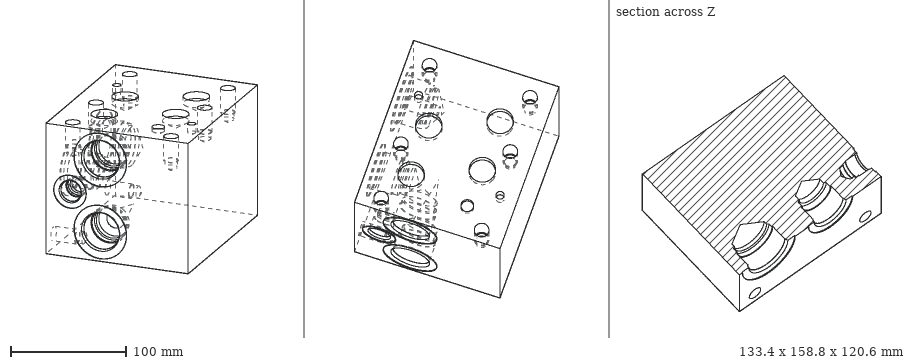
import cadquery as cq
import math

WIDTH = 133.4
LENGTH = 158.8
HEIGHT = 120.6

DRILL_TIP_ANGLE = 118.0

REAR_RIGHT_BOLT = (112.7, 141.3)
BOLT_SPAN_X = 92.0
BOLT_SPAN_Y = 130.2
BOLTS = (
    (0.0, 0.0),
    (0.0, BOLT_SPAN_Y),
    (BOLT_SPAN_X, 0.0),
    (BOLT_SPAN_X, BOLT_SPAN_Y),
    (0.0, 53.2),
    (BOLT_SPAN_X, 77.0),
)
VALVE_PORTS = ((17.5, 29.4), (17.5, 77.0), (74.6, 53.2), (74.6, 100.8))
PILOT_PORT = (19.0, 112.7)
LOCATING_PINS = ((BOLT_SPAN_X, 29.4), (-4.8, 94.5))

VALVE_PORT_DIAMETER = 23.0
VALVE_PORT_DEPTH = 6.4
PILOT_DIAMETER = 11.1
PILOT_DEPTH = 3.5
PIN_DIAMETER = 7.1
PIN_DEPTH = 8.0

TAPPED_DIAMETER = 12.7
TAP_DRILL_DIAMETER = 10.8
TAPPED_DEPTH = 22.2
TAP_DRILL_DEPTH = 28.5
SIDE_HOLE_Z = 12.7
SIDE_HOLE_YS = (17.8, 141.3)

SPOTFACE_DEPTH = 0.8
LARGE_PORT = dict(
    spotface=58.7, mouth=43.5, seat=41.9, thread=41.3, tap_drill=39.2, feed=35.7,
    seat_depth=3.8, thread_depth=20.0, tap_depth=24.1, feed_depth=28.5,
)
MEDIUM_PORT = dict(
    spotface=49.2, mouth=35.5, seat=33.8, thread=33.3, tap_drill=31.3, feed=28.5,
    seat_depth=3.8, thread_depth=19.8, tap_depth=25.4, feed_depth=31.8,
)
PRESSURE_PORT = dict(MEDIUM_PORT, feed=27.0)
SMALL_PORT = dict(
    spotface=30.3, mouth=20.6, seat=19.5, thread=19.0, tap_drill=17.5, feed=14.3,
    seat_depth=3.2, thread_depth=14.3, tap_depth=17.5, feed_depth=22.2,
)

PORT_LEVEL = HEIGHT / 2
PORT_A = (50.8, 27.0)
PORT_B = (50.8, 93.7)
PORT_Y = (22.4, PORT_LEVEL)
PORT_T = (125.7, PORT_LEVEL)
PORT_P = (56.5, PORT_LEVEL)

TAPER_DIAMETER = 16.5
TAPER_LENGTH = 41.3


def on_top(cutter, offset):
    """Place a cutter on the top face, measured from the rear right bolt."""
    x = REAR_RIGHT_BOLT[0] - offset[0]
    y = REAR_RIGHT_BOLT[1] - offset[1]
    return cutter.translate((x, y, HEIGHT))


def on_front(cutter, place):
    """Turn a cutter to point along +Y and place it on the front face."""
    x, z = place
    return cutter.rotate((0, 0, 0), (1, 0, 0), 90).translate((x, 0, z))


def on_left(cutter, place):
    """Turn a cutter to point along +X and place it on the left face."""
    y, z = place
    return cutter.rotate((0, 0, 0), (0, 1, 0), -90).translate((0, y, z))


def drill_point_length(diameter):
    """Length over which a drill point narrows by the given diameter."""
    return diameter / 2 / math.tan(math.radians(DRILL_TIP_ANGLE / 2))


def stepped_cutter(steps):
    """Revolve (diameter, depth) steps about Z, pointing down, with a drill point at the end."""
    last_diameter, last_depth = steps[-1]
    outline = [(0, 0)]
    outline += [(diameter / 2, -depth) for diameter, depth in steps]
    outline += [(0, -last_depth - drill_point_length(last_diameter))]
    return cq.Workplane("XZ").polyline(outline).close().revolve(360, (0, 0, 0), (0, 1, 0))


def drilled_hole(diameter, depth):
    return stepped_cutter([(diameter, 0), (diameter, depth)])


def tapped_hole():
    return stepped_cutter([
        (TAPPED_DIAMETER, 0),
        (TAPPED_DIAMETER, TAPPED_DEPTH),
        (TAP_DRILL_DIAMETER, TAPPED_DEPTH),
        (TAP_DRILL_DIAMETER, TAP_DRILL_DEPTH),
    ])


def threaded_port(port):
    return stepped_cutter([
        (port["spotface"], 0),
        (port["spotface"], SPOTFACE_DEPTH),
        (port["mouth"], SPOTFACE_DEPTH),
        (port["seat"], port["seat_depth"]),
        (port["thread"], port["seat_depth"]),
        (port["thread"], port["thread_depth"]),
        (port["tap_drill"], port["thread_depth"]),
        (port["tap_drill"], port["tap_depth"]),
        (port["feed"], port["tap_depth"] + drill_point_length(port["tap_drill"] - port["feed"])),
        (port["feed"], port["feed_depth"]),
    ])


def port_a_taper():
    """Cone that starts where the drill point of port A has narrowed to its diameter."""
    start = MEDIUM_PORT["feed_depth"] + drill_point_length(MEDIUM_PORT["feed"] - TAPER_DIAMETER)
    outline = [(0, -start), (TAPER_DIAMETER / 2, -start), (0, -start - TAPER_LENGTH)]
    return cq.Workplane("XZ").polyline(outline).close().revolve(360, (0, 0, 0), (0, 1, 0))


cutters = [on_top(tapped_hole(), place) for place in BOLTS]
cutters += [on_top(drilled_hole(VALVE_PORT_DIAMETER, VALVE_PORT_DEPTH), place) for place in VALVE_PORTS]
cutters += [on_top(drilled_hole(PIN_DIAMETER, PIN_DEPTH), place) for place in LOCATING_PINS]
cutters.append(on_top(drilled_hole(PILOT_DIAMETER, PILOT_DEPTH), PILOT_PORT))

cutters.append(on_front(threaded_port(MEDIUM_PORT), PORT_A))
cutters.append(on_front(port_a_taper(), PORT_A))
cutters.append(on_front(threaded_port(MEDIUM_PORT), PORT_B))
cutters.append(on_front(threaded_port(SMALL_PORT), PORT_Y))

cutters.append(on_left(threaded_port(LARGE_PORT), PORT_T))
cutters.append(on_left(threaded_port(PRESSURE_PORT), PORT_P))
cutters += [on_left(tapped_hole(), (y, SIDE_HOLE_Z)) for y in SIDE_HOLE_YS]

result = cq.Workplane("XY").box(WIDTH, LENGTH, HEIGHT, centered=False)
for cutter in cutters:
    result = result.cut(cutter)